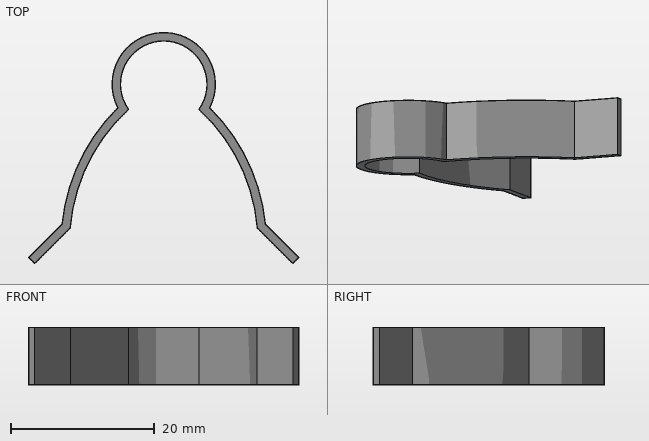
import cadquery as cq
import math

strip_thickness = 1.2
strip_width = 8.0
ring_inner_radius = 6.0
ring_mouth_half_angle = 54.4
leg_inner_radius = 25.2
leg_end_x = -13.0
leg_end_y = -20.0
foot_length = 7.0
foot_angle = 45.0

ring_outer_radius = ring_inner_radius + strip_thickness
leg_outer_radius = leg_inner_radius + strip_thickness


def polar(center, radius, angle):
    """Point at a radius and an angle (radians from +X) around a center."""
    return (center.x + radius * math.cos(angle), center.y + radius * math.sin(angle))


def angle_about(center, point):
    """Angle of a point around a center, from 0 to a full turn."""
    return math.atan2(point.y - center.y, point.x - center.x) % (2 * math.pi)


def arc_middle(center, radius, start, end):
    """Point halfway along the arc between two points."""
    middle_angle = (angle_about(center, start) + angle_about(center, end)) / 2
    return cq.Vector(*polar(center, radius, middle_angle))


def find_leg_center(start, end):
    """Center of the left leg's arcs, on the inner side of the chord from ring to foot."""
    chord = end - start
    inward = cq.Vector(-chord.y, chord.x).normalized()
    distance = math.sqrt(leg_inner_radius**2 - (chord.Length / 2) ** 2)
    return (start + end) / 2 + inward * distance


def find_outer_ring_corner(leg_center):
    """Left crossing of the outer ring circle with the outer leg circle."""
    distance = leg_center.Length
    cosine = (ring_outer_radius**2 + distance**2 - leg_outer_radius**2) / (2 * ring_outer_radius * distance)
    angle = angle_about(ring_center, leg_center) - math.acos(cosine)
    return cq.Vector(*polar(ring_center, ring_outer_radius, angle))


def find_outer_foot_corner(leg_center):
    """Crossing of the outer leg circle with the outer face line of the foot."""
    across = (inner_foot_corner - leg_center).dot(foot_normal) + strip_thickness
    along = math.sqrt(leg_outer_radius**2 - across**2)
    return leg_center + foot_normal * across + foot_direction * along


def mirrored(point):
    """The matching point on the right-hand half."""
    return cq.Vector(-point.x, point.y)


ring_center = cq.Vector(0, 0)
mouth = math.radians(ring_mouth_half_angle)
lean = math.radians(foot_angle)
foot_direction = cq.Vector(-math.sin(lean), -math.cos(lean))
foot_normal = cq.Vector(-math.cos(lean), math.sin(lean))

inner_ring_corner = cq.Vector(-math.sin(mouth), -math.cos(mouth)) * ring_inner_radius
inner_foot_corner = cq.Vector(leg_end_x, leg_end_y)
inner_tip = inner_foot_corner + foot_direction * foot_length
outer_tip = inner_tip + foot_normal * strip_thickness

leg_center = find_leg_center(inner_ring_corner, inner_foot_corner)
outer_ring_corner = find_outer_ring_corner(leg_center)
outer_foot_corner = find_outer_foot_corner(leg_center)

inner_leg_middle = arc_middle(leg_center, leg_inner_radius, inner_ring_corner, inner_foot_corner)
outer_leg_middle = arc_middle(leg_center, leg_outer_radius, outer_ring_corner, outer_foot_corner)
inner_ring_top = cq.Vector(0, ring_inner_radius)
outer_ring_top = cq.Vector(0, ring_outer_radius)


def make_clip():
    """Strip outline: along the outer side left to right, back along the inner side, then extruded."""
    return (
        cq.Workplane("XY")
        .moveTo(outer_tip.x, outer_tip.y)
        .lineTo(outer_foot_corner.x, outer_foot_corner.y)
        .threePointArc(outer_leg_middle, outer_ring_corner)
        .threePointArc(outer_ring_top, mirrored(outer_ring_corner))
        .threePointArc(mirrored(outer_leg_middle), mirrored(outer_foot_corner))
        .lineTo(-outer_tip.x, outer_tip.y)
        .lineTo(-inner_tip.x, inner_tip.y)
        .lineTo(-inner_foot_corner.x, inner_foot_corner.y)
        .threePointArc(mirrored(inner_leg_middle), mirrored(inner_ring_corner))
        .threePointArc(inner_ring_top, inner_ring_corner)
        .threePointArc(inner_leg_middle, inner_foot_corner)
        .lineTo(inner_tip.x, inner_tip.y)
        .close()
        .extrude(strip_width)
    )


result = make_clip()